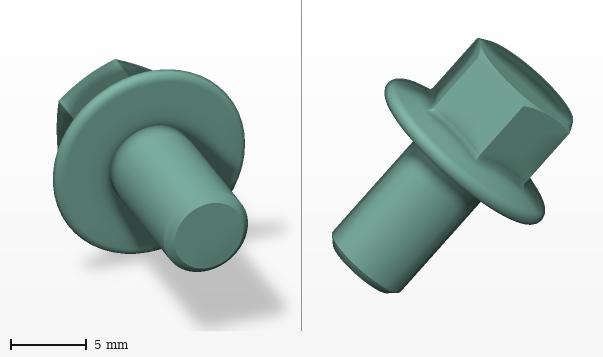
import cadquery as cq
import math

total_length = 16.9
head_height = 6.9
across_flats = 8.0
bevel_angle = 30.0
face_diameter = 7.98
flange_diameter = 13.6
rim_thickness = 1.1
flange_slope = 20.0
neck_fillet = 0.4
shank_diameter = 6.0
tip_chamfer = 0.55

across_corners = across_flats / math.cos(math.radians(30))
slope = math.radians(flange_slope)
rim_radius = rim_thickness / 2
rim_center_x = head_height - rim_radius
rim_center_r = flange_diameter / 2 - rim_radius


def make_flange():
    """Revolve a cone that runs tangentially into a full-round rim."""
    tangent_x = rim_center_x - rim_radius * math.cos(slope)
    tangent_r = rim_center_r + rim_radius * math.sin(slope)
    apex_x = tangent_x - tangent_r * math.tan(slope)
    return (
        cq.Workplane("XY")
        .moveTo(apex_x, 0)
        .lineTo(tangent_x, tangent_r)
        .threePointArc((rim_center_x, flange_diameter / 2), (head_height, rim_center_r))
        .lineTo(head_height, 0)
        .close()
        .revolve(360, (0, 0, 0), (1, 0, 0))
    )


def make_hexagon():
    """Hexagonal prism with two corners on the Z axis."""
    return (
        cq.Workplane("YZ")
        .polygon(6, across_corners)
        .extrude(rim_center_x)
        .rotate((0, 0, 0), (1, 0, 0), 90)
    )


def make_bevel_envelope():
    """Cone-ended cylinder that trims the hexagon corners at the head face."""
    face_radius = face_diameter / 2
    outer_radius = flange_diameter / 2 + rim_radius
    bevel_depth = (outer_radius - face_radius) * math.tan(math.radians(bevel_angle))
    return (
        cq.Workplane("XY")
        .moveTo(0, 0)
        .lineTo(0, face_radius)
        .lineTo(bevel_depth, outer_radius)
        .lineTo(head_height, outer_radius)
        .lineTo(head_height, 0)
        .close()
        .revolve(360, (0, 0, 0), (1, 0, 0))
    )


def make_shank():
    """Plain cylinder with a chamfered tip."""
    return (
        cq.Workplane("YZ", origin=(head_height, 0, 0))
        .circle(shank_diameter / 2)
        .extrude(total_length - head_height)
        .faces(">X")
        .chamfer(tip_chamfer)
    )


head = make_hexagon().union(make_flange())
neck_reach = across_corners / 2
neck_edges = head.edges(
    cq.selectors.BoxSelector(
        (head_height / 2, -neck_reach, -neck_reach),
        (rim_center_x - rim_radius, neck_reach, neck_reach),
    )
)
head = neck_edges.fillet(neck_fillet)

result = head.intersect(make_bevel_envelope()).union(make_shank())